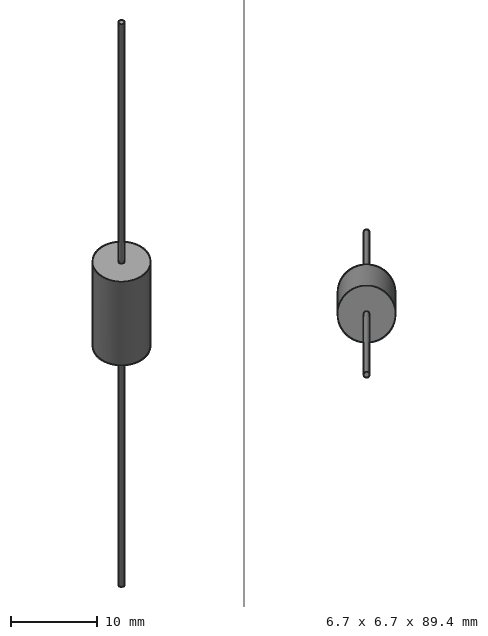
import cadquery as cq

overall_length = 89.4
body_length = 13.3
body_diameter = 6.7
lead_diameter = 0.7

body = cq.Workplane("XY").cylinder(body_length, body_diameter / 2)

lead_wire = cq.Workplane("XY").cylinder(overall_length, lead_diameter / 2)

result = body.union(lead_wire)